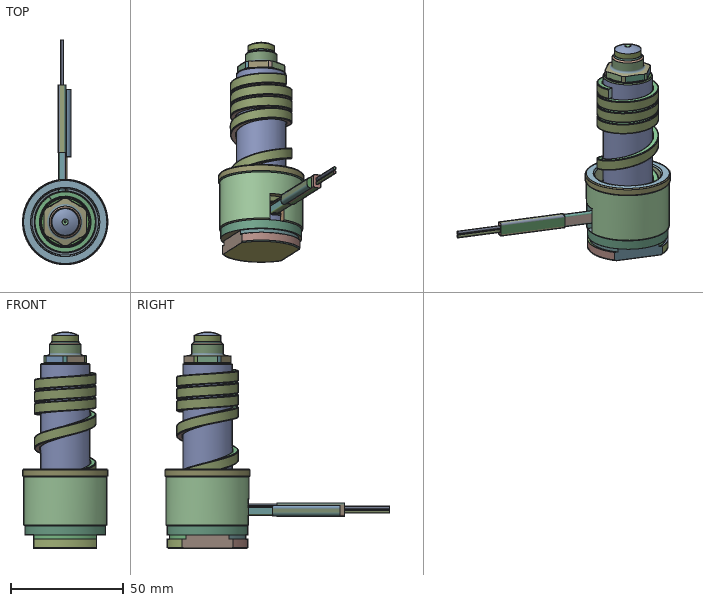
import cadquery as cq
import math


BASE_R = 18.0
BASE_TOP = 4.1
BASE_CHAMFER = 0.5
NECK_R = 17.0
NECK_TOP = 6.0
FLAT_DISTANCE = 14.0
CUP_R = 18.5
CUP_FLOOR = 10.0
CUP_CHAMFER = CUP_R - BASE_R
RIM_R = 19.0
RIM_BOTTOM = 31.8
RIM_TOP = 35.3
RIM_TOP_CHAMFER = 0.5
BORE_R = 14.8
BORE_CHAMFER = 0.6

BODY_R = 11.0
BODY_TOP = 82.3
BODY_CHAMFER = 0.5
HEX_FLATS = 19.0
HEX_CORNER_R = 10.5
HEX_BOTTOM = 82.6
HEX_TOP = 85.5
HEX_CONE_R = 7.9
HEX_CONE_TOP = 85.9
HEX_NECK_R = 9.5
COLLAR_R = 7.05
COLLAR_FILLET = HEX_CONE_R - COLLAR_R
COLLAR_TOP = 90.7
STEP_R = 6.3
STEP_TOP = 91.4
TIP_R = 5.95
TIP_CONE_TOP = 92.1
TIP_TOP = 94.65
TOTAL_HEIGHT = 96.2
DIMPLE_R = 1.35
ORIFICE_R = 0.4
DIMPLE_DEPTH = 0.8
ORIFICE_DEPTH = 3.0

COIL_R = 13.75
COIL_INNER_R = 11.4
STRIP_HEIGHT = 4.7
STRIP_CHAMFER = 0.35
WIDE_PITCH = 21.6
CLOSE_PITCH = 5.35
WIDE_START_ANGLE = -31.0
WIDE_START_TOP = 36.45
WIDE_TURNS = 1.0
BLEND_TURNS = 0.4
UPPER_CLOSE_TURNS = 3.025
LOWER_CLOSE_TURNS = 2.26
POINTS_PER_TURN = 16
GUIDE_R = 2 * COIL_R

EXIT_SLOT_WIDTH = 6.6
EXIT_SLOT_TOP = 22.0
LEAD_X = -1.375
LEAD_Z = 17.25
LEAD_START_Y = 10.0
CABLE_WIDTH = 3.05
CABLE_HEIGHT = 5.15
CABLE_FILLET = 0.6
SLEEVE_WIDTH = 3.65
SLEEVE_HEIGHT = 6.0
SLEEVE_FILLET = 0.9
SLEEVE_START_Y = 30.8
SLEEVE_END_Y = 61.0
WIRE_DIAMETER = 1.35
WIRE_SPACING = 1.8
TOTAL_LENGTH = 100.0
WIRE_END_Y = TOTAL_LENGTH - RIM_R
SENSOR_X = 1.15
SENSOR_Z = 16.8
SENSOR_WIDTH = 2.9
SENSOR_HEIGHT = 4.8
SENSOR_START_Y = 29.0
SENSOR_END_Y = 59.0
SENSOR_WIRE_X = 0.45
SENSOR_WIRE_Z = 18.7
SENSOR_WIRE_DIAMETER = 0.8


def revolve_outline(outline):
    """Turn a closed XZ outline about the Z axis."""
    return outline.close().revolve(360, (0, 0, 0), (0, 1, 0))


def make_cup():
    rim_step = RIM_R - CUP_R
    outline = (
        cq.Workplane("XZ")
        .moveTo(0, 0)
        .lineTo(BASE_R - BASE_CHAMFER, 0)
        .lineTo(BASE_R, BASE_CHAMFER)
        .lineTo(BASE_R, BASE_TOP)
        .lineTo(NECK_R, BASE_TOP)
        .lineTo(NECK_R, NECK_TOP)
        .lineTo(BASE_R, NECK_TOP)
        .lineTo(BASE_R, CUP_FLOOR)
        .lineTo(CUP_R, CUP_FLOOR + CUP_CHAMFER)
        .lineTo(CUP_R, RIM_BOTTOM)
        .lineTo(RIM_R, RIM_BOTTOM + rim_step)
        .lineTo(RIM_R, RIM_TOP - RIM_TOP_CHAMFER)
        .lineTo(RIM_R - RIM_TOP_CHAMFER, RIM_TOP)
        .lineTo(BORE_R + BORE_CHAMFER, RIM_TOP)
        .lineTo(BORE_R, RIM_TOP - BORE_CHAMFER)
        .lineTo(BORE_R, CUP_FLOOR)
        .lineTo(0, CUP_FLOOR)
    )
    return cut_exit_slot(cut_base_flats(revolve_outline(outline)))


def cut_base_flats(cup):
    depth = BASE_R - FLAT_DISTANCE
    for side in (-1, 1):
        cutter = cq.Workplane("XY").box(depth, 2 * BASE_R, NECK_TOP, centered=(True, True, False))
        cup = cup.cut(cutter.translate((side * (FLAT_DISTANCE + depth / 2), 0, 0)))
    return cup


def cut_exit_slot(cup):
    """Open the +Y side of the cup wall where the leads leave."""
    height = EXIT_SLOT_TOP - CUP_FLOOR
    cutter = cq.Workplane("XY").box(EXIT_SLOT_WIDTH, RIM_R, height, centered=(True, False, False))
    return cup.cut(cutter.translate((0, LEAD_START_Y, CUP_FLOOR)))


def make_body():
    """Cylinder from the cup floor up to the underside of the hexagon."""
    outline = (
        cq.Workplane("XZ")
        .moveTo(0, CUP_FLOOR)
        .lineTo(BODY_R, CUP_FLOOR)
        .lineTo(BODY_R, BODY_TOP - BODY_CHAMFER)
        .lineTo(BODY_R - BODY_CHAMFER, BODY_TOP)
        .lineTo(HEX_NECK_R, BODY_TOP)
        .lineTo(HEX_NECK_R, HEX_BOTTOM)
        .lineTo(0, HEX_BOTTOM)
    )
    return revolve_outline(outline)


def make_hexagon():
    """Hexagon with flats facing +X and -X, turned corners and a shallow conical top."""
    corner_diameter = HEX_FLATS / math.cos(math.pi / 6)
    prism = (
        cq.Workplane("XY")
        .workplane(offset=HEX_BOTTOM)
        .polygon(6, corner_diameter)
        .extrude(HEX_CONE_TOP - HEX_BOTTOM)
        .rotate((0, 0, 0), (0, 0, 1), 30)
    )
    envelope = (
        cq.Workplane("XZ")
        .moveTo(0, HEX_BOTTOM)
        .lineTo(HEX_CORNER_R, HEX_BOTTOM)
        .lineTo(HEX_CORNER_R, HEX_TOP)
        .lineTo(HEX_CONE_R, HEX_CONE_TOP)
        .lineTo(0, HEX_CONE_TOP)
    )
    return prism.intersect(revolve_outline(envelope))


def make_tip():
    """Collar, stepped tip and domed end with a dimple and a central orifice."""
    rise = TOTAL_HEIGHT - TIP_TOP
    dome_centre = (TOTAL_HEIGHT + TIP_TOP) / 2 - (TIP_R**2 - DIMPLE_R**2) / (2 * rise)
    dome_r = math.hypot(TIP_R, TIP_TOP - dome_centre)
    mid_r = (TIP_R + DIMPLE_R) / 2
    mid_z = dome_centre + math.sqrt(dome_r**2 - mid_r**2)
    fillet_offset = COLLAR_FILLET * (1 - math.sqrt(0.5))
    dimple_floor = TOTAL_HEIGHT - DIMPLE_DEPTH
    outline = (
        cq.Workplane("XZ")
        .moveTo(0, HEX_BOTTOM)
        .lineTo(COLLAR_R, HEX_BOTTOM)
        .lineTo(HEX_CONE_R, HEX_CONE_TOP)
        .threePointArc(
            (COLLAR_R + fillet_offset, HEX_CONE_TOP + fillet_offset),
            (COLLAR_R, HEX_CONE_TOP + COLLAR_FILLET),
        )
        .lineTo(COLLAR_R, COLLAR_TOP)
        .lineTo(STEP_R, STEP_TOP)
        .lineTo(TIP_R, TIP_CONE_TOP)
        .lineTo(TIP_R, TIP_TOP)
        .threePointArc((mid_r, mid_z), (DIMPLE_R, TOTAL_HEIGHT))
        .lineTo(ORIFICE_R, dimple_floor)
        .lineTo(ORIFICE_R, dimple_floor - ORIFICE_DEPTH)
        .lineTo(0, dimple_floor - ORIFICE_DEPTH)
    )
    return revolve_outline(outline)


def blended_rise(turns):
    """Climb over `turns` outside the wide section, its pitch easing from wide to close."""
    eased = min(turns, BLEND_TURNS)
    easing = (WIDE_PITCH - CLOSE_PITCH) * eased * eased / (2 * BLEND_TURNS)
    return WIDE_PITCH * eased - easing + CLOSE_PITCH * (turns - eased)


def strip_top(turns):
    """Height of the strip's top edge, `turns` after the start of the wide section."""
    if turns < 0:
        return WIDE_START_TOP - blended_rise(-turns)
    wide = min(turns, WIDE_TURNS)
    return WIDE_START_TOP + WIDE_PITCH * wide + blended_rise(turns - wide)


def coil_point(radius, turns):
    angle = math.radians(WIDE_START_ANGLE) + 2 * math.pi * turns
    height = strip_top(turns) - STRIP_HEIGHT / 2
    return cq.Vector(radius * math.cos(angle), radius * math.sin(angle), height)


def coil_wire(radius, first, last):
    steps = round((last - first) * POINTS_PER_TURN)
    points = [coil_point(radius, first + (last - first) * i / steps) for i in range(steps + 1)]
    return cq.Wire.assembleEdges([cq.Edge.makeSpline(points)])


def make_coil():
    """Sweep the strip section along the coil; a concentric guide keeps it upright."""
    first = -BLEND_TURNS - LOWER_CLOSE_TURNS
    last = WIDE_TURNS + BLEND_TURNS + UPPER_CLOSE_TURNS
    path = cq.Workplane(coil_wire(COIL_R, first, last))
    guide = cq.Workplane(coil_wire(GUIDE_R, first, last))

    start_angle = math.radians(WIDE_START_ANGLE) + 2 * math.pi * first
    outward = cq.Vector(math.cos(start_angle), math.sin(start_angle), 0)
    tangent = cq.Vector(-math.sin(start_angle), math.cos(start_angle), 0)
    section = cq.Plane(origin=coil_point(COIL_R, first), xDir=outward, normal=tangent)
    depth = COIL_R - COIL_INNER_R
    half = STRIP_HEIGHT / 2
    return (
        cq.Workplane(section)
        .moveTo(-depth, -half)
        .lineTo(-STRIP_CHAMFER, -half)
        .lineTo(0, -half + STRIP_CHAMFER)
        .lineTo(0, half - STRIP_CHAMFER)
        .lineTo(-STRIP_CHAMFER, half)
        .lineTo(-depth, half)
        .close()
        .sweep(path, auxSpine=guide)
    )


def bar_along_y(x, z, start_y, end_y, width, height, fillet):
    """Bar along Y with a rectangular section and rounded long edges."""
    bar = cq.Workplane("XY").box(width, end_y - start_y, height).edges("|Y").fillet(fillet)
    return bar.translate((x, (start_y + end_y) / 2, z))


def rod_along_y(x, z, start_y, end_y, diameter):
    plane = cq.Plane(origin=(x, start_y, z), xDir=(1, 0, 0), normal=(0, 1, 0))
    return cq.Workplane(plane).circle(diameter / 2).extrude(end_y - start_y)


def make_leads():
    """Power cable with sleeve and two wires, and the round-edged sensor tube with its wire."""
    leads = bar_along_y(
        LEAD_X, LEAD_Z, LEAD_START_Y, SLEEVE_END_Y, CABLE_WIDTH, CABLE_HEIGHT, CABLE_FILLET
    )
    sleeve = bar_along_y(
        LEAD_X, LEAD_Z, SLEEVE_START_Y, SLEEVE_END_Y, SLEEVE_WIDTH, SLEEVE_HEIGHT, SLEEVE_FILLET
    )
    leads = leads.union(sleeve)
    for side in (-0.5, 0.5):
        wire_z = LEAD_Z + side * WIRE_SPACING
        leads = leads.union(rod_along_y(LEAD_X, wire_z, SLEEVE_START_Y, WIRE_END_Y, WIRE_DIAMETER))
    sensor_plane = cq.Plane(origin=(SENSOR_X, SENSOR_START_Y, SENSOR_Z), xDir=(1, 0, 0), normal=(0, 1, 0))
    sensor = (
        cq.Workplane(sensor_plane)
        .slot2D(SENSOR_HEIGHT, SENSOR_WIDTH, 90)
        .extrude(SENSOR_END_Y - SENSOR_START_Y)
    )
    sensor_wire = rod_along_y(
        SENSOR_WIRE_X, SENSOR_WIRE_Z, LEAD_START_Y, SENSOR_END_Y, SENSOR_WIRE_DIAMETER
    )
    return leads.union(sensor).union(sensor_wire)


result = (
    make_cup()
    .union(make_body())
    .union(make_hexagon())
    .union(make_tip())
    .union(make_coil())
    .union(make_leads())
)